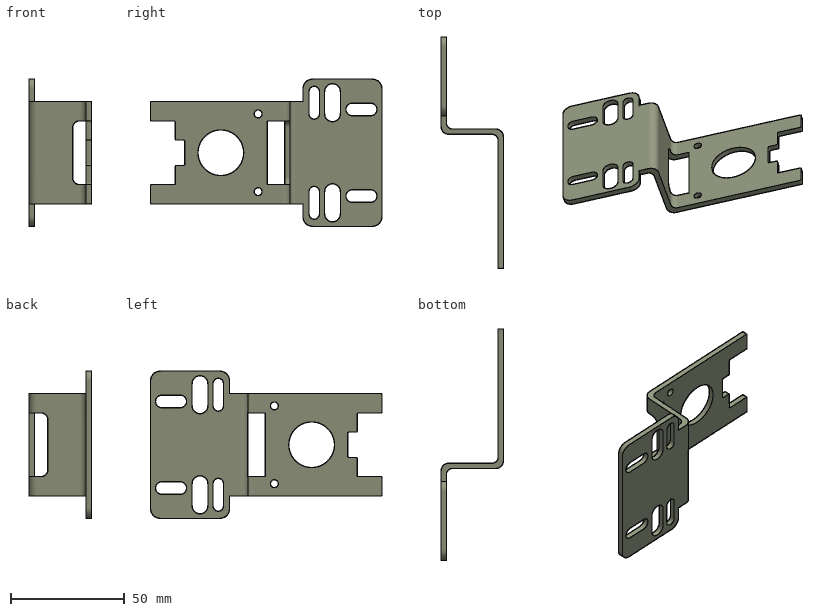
import cadquery as cq


length = 102.0
depth = 27.5
thickness = 2.4
bend_inner_radius = 2.5
bend_outer_radius = 3.5
arm_height = 45.2
web_far_y = -42.9
web_near_y = web_far_y + thickness
arm_inner_x = depth - thickness

flange_length = 34.9
flange_height = 65.0
flange_corner_radius = 4.4
pair_slot_z = 22.0

opening_height = 27.9
window_depth_in_web = 8.3
window_end_y = -50.5
window_corner_radius = 3.0

small_hole_diameter = 3.4
small_hole_y = -54.6
small_hole_z = 17.1
large_hole_diameter = 20.0
large_hole_y = -71.0

notch_depth = 10.9
inner_notch_depth = 15.1
inner_notch_height = 11.1
edge_radius = 0.5


def block(x_min, x_max, y_min, y_max, height):
    """Box spanning the given X and Y limits, centred on Z = 0."""
    size = (x_max - x_min, y_max - y_min, height)
    return cq.Workplane("XY").box(*size, centered=(False, False, True)).translate((x_min, y_min, 0))


def bent_strip():
    """Sheet of arm height following the Z-shaped bend."""
    strip = (
        cq.Workplane("XY", origin=(0, 0, -arm_height / 2))
        .polyline([
            (0, 0),
            (thickness, 0),
            (thickness, web_near_y),
            (depth, web_near_y),
            (depth, -length),
            (arm_inner_x, -length),
            (arm_inner_x, web_far_y),
            (0, web_far_y),
        ])
        .close()
        .extrude(arm_height)
    )
    inner_bends = [(thickness, web_near_y), (arm_inner_x, web_far_y)]
    outer_bends = [(0, web_far_y), (depth, web_near_y)]
    for bends, radius in ((inner_bends, bend_inner_radius), (outer_bends, bend_outer_radius)):
        for x, y in bends:
            strip = strip.edges(cq.selectors.NearestToPointSelector((x, y, 0))).fillet(radius)
    return strip


def flange():
    """Tall mounting plate with rounded corners."""
    plate = block(0, thickness, -flange_length, 0, flange_height)
    return plate.edges("|X").fillet(flange_corner_radius)


def through_slots(y, z, slot_length, slot_width, angle):
    """Mirrored pair of flange slots; angle 0 runs along Y, 90 along Z."""
    return (
        cq.Workplane("YZ")
        .pushPoints([(y, z), (y, -z)])
        .slot2D(slot_length, slot_width, angle)
        .extrude(thickness)
    )


def window():
    """Opening cut around the bend between the web and the arm."""
    cutter = block(depth - window_depth_in_web, depth, window_end_y, web_near_y, opening_height)
    return cutter.edges("|Y and <X").fillet(window_corner_radius)


def arm_holes():
    """Large central hole and two small holes through the arm."""
    face = cq.Workplane("YZ", origin=(arm_inner_x, 0, 0))
    large = face.center(large_hole_y, 0).circle(large_hole_diameter / 2).extrude(thickness)
    small = (
        face.pushPoints([(small_hole_y, small_hole_z), (small_hole_y, -small_hole_z)])
        .circle(small_hole_diameter / 2)
        .extrude(thickness)
    )
    return large.union(small)


def end_notch():
    """Two-step notch open at the free end of the arm."""
    outer = block(arm_inner_x, depth, -length, -length + notch_depth, opening_height)
    inner = block(arm_inner_x, depth, -length, -length + inner_notch_depth, inner_notch_height)
    return outer.union(inner)


def round_arm_end(body):
    """Break every through-thickness corner of the prongs and the notch."""
    end_zone = cq.selectors.BoxSelector(
        (arm_inner_x, -length - edge_radius, -arm_height),
        (depth, -length + inner_notch_depth + edge_radius, arm_height),
    )
    return body.edges(end_zone).edges("|X").fillet(edge_radius)


result = round_arm_end(bent_strip().cut(end_notch()))
result = result.union(flange())
result = result.cut(through_slots(y=-9.1, z=19.1, slot_length=13.6, slot_width=5.4, angle=0))
result = result.cut(through_slots(y=-21.8, z=pair_slot_z, slot_length=16.6, slot_width=6.8, angle=90))
result = result.cut(through_slots(y=-29.9, z=pair_slot_z, slot_length=14.4, slot_width=4.5, angle=90))
result = result.cut(window()).cut(arm_holes())